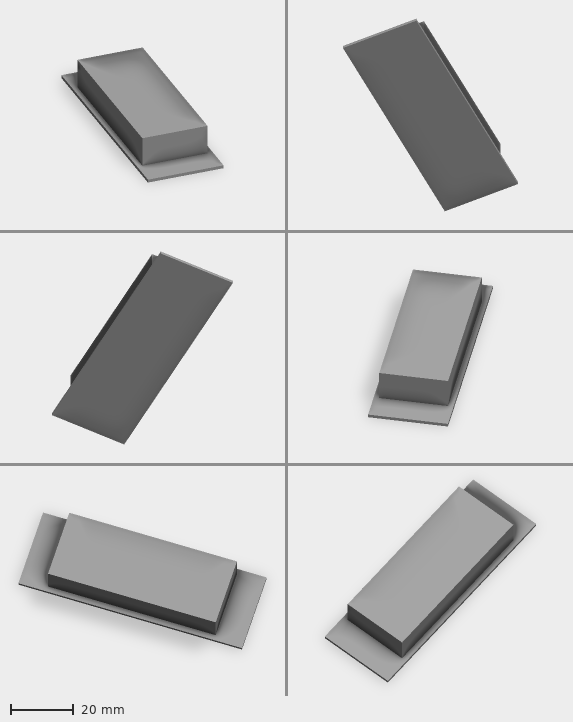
import cadquery as cq

plate_length = 75.0
plate_width = 26.0
plate_thickness = 1.05

block_length = 56.25
block_width = 22.4
total_height = 11.0
block_height = total_height - plate_thickness

plate = cq.Workplane("XY").box(plate_length, plate_width, plate_thickness, centered=(True, True, False))

result = (
    plate.faces(">Z")
    .workplane()
    .rect(block_length, block_width)
    .extrude(block_height)
)